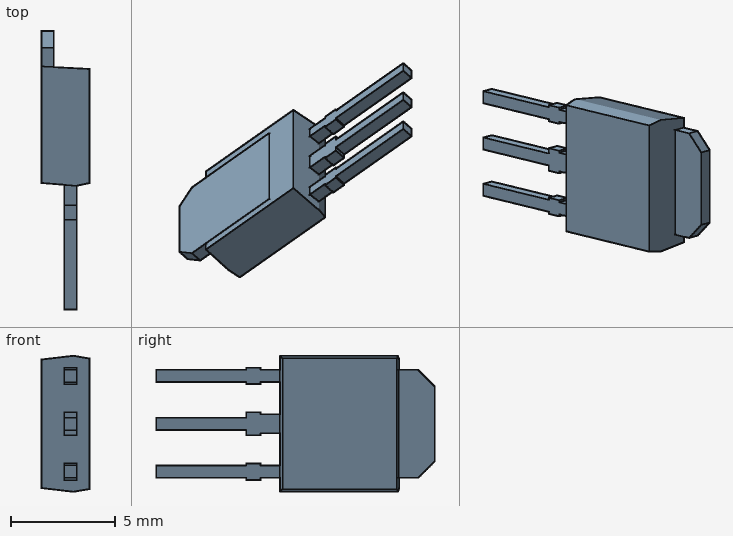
import cadquery as cq

TOTAL_LENGTH = 13.3

PACKAGE_DEPTH = 2.3
RIDGE_HEIGHT = 6.5
PAD_SIDE_HEIGHT = 6.15
FAR_SIDE_HEIGHT = 6.24
SIDE_RIDGE_X = 1.53
FRONT_RIDGE_X = 1.69
FRONT_RIDGE_Y = 5.9
FRONT_SETBACK = 0.13
BACK_Y = 11.61
BACK_SETBACK = 0.12
FRONT_EDGE_Y = FRONT_RIDGE_Y + FRONT_SETBACK

METAL_THICKNESS = 0.6
LEAD_PITCH = 2.29
LEAD_WIDTH = 0.6
CENTRE_ROOT_WIDTH = 0.92
COLLAR_OVERHANG = 0.1
COLLAR_START_Y = 4.3
COLLAR_END_Y = 4.99
LEAD_X = FRONT_RIDGE_X - METAL_THICKNESS
LEAD_INNER_Y = FRONT_EDGE_Y

TAB_HEIGHT = 2 * LEAD_PITCH + LEAD_WIDTH
TAB_INNER_Y = 7.58
TAB_CHAMFER = 0.8


def make_tab():
    """Heat-sink tab with its two free corners cut off."""
    length = TOTAL_LENGTH - TAB_INNER_Y
    return (
        cq.Workplane("XY")
        .box(METAL_THICKNESS, length, TAB_HEIGHT, centered=(False, False, True))
        .translate((0, TAB_INNER_Y, 0))
        .edges("|X and >Y")
        .chamfer(TAB_CHAMFER)
    )


def make_lead(centre_z, root_width):
    """Stepped flat lead: thin shank, wide collar and root."""

    def bar(start_y, end_y, width):
        return (
            cq.Workplane("XY")
            .box(METAL_THICKNESS, end_y - start_y, width, centered=(False, False, True))
            .translate((LEAD_X, start_y, centre_z))
        )

    shank = bar(0, COLLAR_START_Y, LEAD_WIDTH)
    collar = bar(COLLAR_START_Y, COLLAR_END_Y, root_width + 2 * COLLAR_OVERHANG)
    root = bar(COLLAR_END_Y, LEAD_INNER_Y, root_width)
    return shank.union(collar).union(root)


def make_package(inserts):
    """Drafted block with recesses that match the tab and the lead roots."""
    plan = (
        cq.Workplane("XY")
        .polyline([
            (0, FRONT_EDGE_Y),
            (FRONT_RIDGE_X, FRONT_RIDGE_Y),
            (PACKAGE_DEPTH, FRONT_EDGE_Y),
            (PACKAGE_DEPTH, BACK_Y - BACK_SETBACK),
            (0, BACK_Y),
        ])
        .close()
        .extrude(RIDGE_HEIGHT / 2, both=True)
    )
    section = (
        cq.Workplane("XZ")
        .polyline([
            (0, -PAD_SIDE_HEIGHT / 2),
            (SIDE_RIDGE_X, -RIDGE_HEIGHT / 2),
            (PACKAGE_DEPTH, -FAR_SIDE_HEIGHT / 2),
            (PACKAGE_DEPTH, FAR_SIDE_HEIGHT / 2),
            (SIDE_RIDGE_X, RIDGE_HEIGHT / 2),
            (0, PAD_SIDE_HEIGHT / 2),
        ])
        .close()
        .extrude(-TOTAL_LENGTH)
    )
    block = plan.intersect(section)
    for insert in inserts:
        block = block.cut(insert)
    return block


tab = make_tab()
leads = []
for position in (-1, 0, 1):
    root_width = CENTRE_ROOT_WIDTH if position == 0 else LEAD_WIDTH
    leads.append(make_lead(position * LEAD_PITCH, root_width))
package = make_package([tab, *leads])

bodies = [package, tab, *leads]
result = cq.Compound.makeCompound([body.solids().val() for body in bodies])